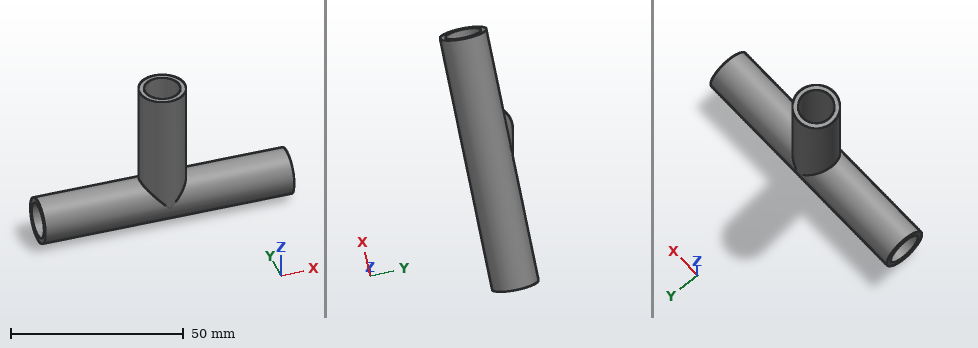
import cadquery as cq

run_length = 76.2
branch_length = run_length / 2
outer_diameter = 13.8
bore_diameter = 10.5


def tee_of_cylinders(diameter):
    """Run and branch cylinders of one diameter, meeting on the run axis."""
    radius = diameter / 2
    run = cq.Workplane("YZ").circle(radius).extrude(run_length / 2, both=True)
    branch = cq.Workplane("XY").circle(radius).extrude(branch_length)
    return run.union(branch)


result = tee_of_cylinders(outer_diameter).cut(tee_of_cylinders(bore_diameter))